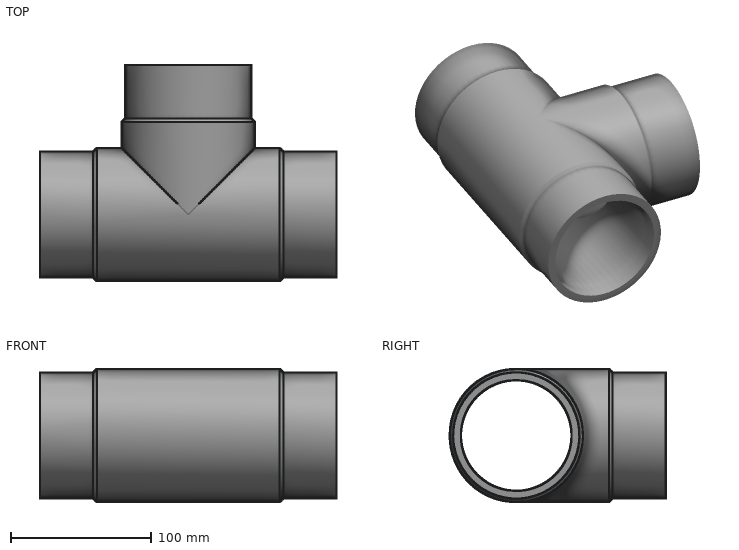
import cadquery as cq

run_length = 212.0
branch_reach = 106.8
body_diameter = 95.2
spigot_diameter = 90.0
bore_diameter = 78.9
spigot_length = 38.2

half_run = run_length / 2
shoulder_bevel = (body_diameter - spigot_diameter) / 2


def arm(direction, reach):
    """Solid arm from the tee centre: thick body, bevelled shoulder, thin spigot."""
    base = cq.Plane(origin=(0, 0, 0), xDir=(0, 0, 1), normal=direction)
    body = (
        cq.Workplane(base)
        .circle(body_diameter / 2)
        .extrude(reach - spigot_length)
        .faces(cq.DirectionMinMaxSelector(cq.Vector(*direction), True))
        .chamfer(shoulder_bevel)
    )
    spigot = cq.Workplane(base).circle(spigot_diameter / 2).extrude(reach)
    return body.union(spigot)


left_arm = arm((-1, 0, 0), half_run)
right_arm = arm((1, 0, 0), half_run)
branch_arm = arm((0, 1, 0), branch_reach)
outer = left_arm.union(right_arm).union(branch_arm)

run_bore = cq.Workplane("YZ").circle(bore_diameter / 2).extrude(half_run, both=True)
branch_bore = cq.Workplane("XZ").circle(bore_diameter / 2).extrude(-branch_reach)

result = outer.cut(run_bore).cut(branch_bore)